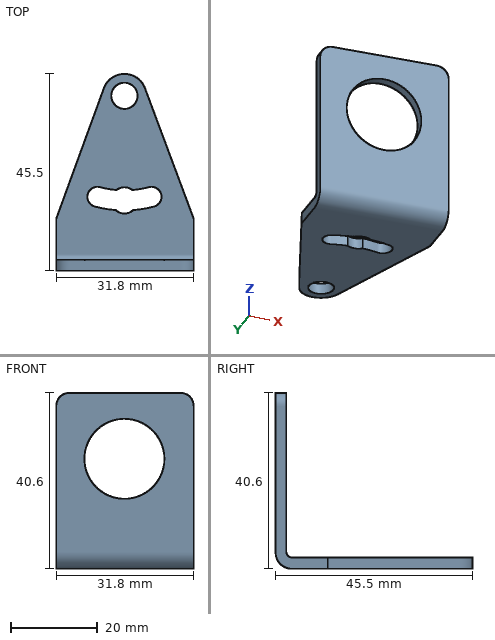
import cadquery as cq
import math

width = 31.75
depth = 45.47
height = 40.64
sheet_offset = 0.127
wall_thickness = 2.54
base_thickness = 2.667
inner_bend_radius = 1.27
outer_bend_radius = inner_bend_radius + wall_thickness

corner_radius = 3.048
window_diameter = 18.415
window_height = 25.4

tip_radius = 5.08
pivot_diameter = 6.0
straight_side_length = 12.06

slot_radius = 24.13
slot_width = 4.572
slot_half_angle = 15
center_hole_diameter = 6.0

half_width = width / 2
left_edge = sheet_offset - half_width
right_edge = sheet_offset + half_width
pivot_y = depth - tip_radius


def make_bent_sheet():
    """L-shaped sheet extruded across the width, with a rounded bend inside and out."""
    sheet = (
        cq.Workplane("YZ")
        .polyline([(0, 0), (depth, 0), (depth, base_thickness), (wall_thickness, base_thickness),
                   (wall_thickness, height), (0, height)])
        .close()
        .extrude(half_width, both=True)
    )
    outer_corner = cq.selectors.NearestToPointSelector((0, 0, 0))
    inner_corner = cq.selectors.NearestToPointSelector((0, wall_thickness, base_thickness))
    sheet = sheet.edges(outer_corner).fillet(outer_bend_radius)
    sheet = sheet.edges(inner_corner).fillet(inner_bend_radius)
    return sheet.translate((sheet_offset, 0, 0))


def taper_tangent_point(edge_distance):
    """Tangent point of the taper on the tip arc, for a straight side this far in +X from the holes."""
    rise = pivot_y - straight_side_length
    distance = math.hypot(edge_distance, rise)
    normal_angle = math.atan2(-rise, edge_distance) + math.acos(tip_radius / distance)
    tangent_x = tip_radius * math.cos(normal_angle)
    tangent_y = pivot_y + tip_radius * math.sin(normal_angle)
    return tangent_x, tangent_y


def make_base_outline():
    """Base plan: straight sides, then tapers tangent to the round tip."""
    left_tangent_x, left_tangent_y = taper_tangent_point(-left_edge)
    right_tangent_x, right_tangent_y = taper_tangent_point(right_edge)
    return (
        cq.Workplane("XY")
        .moveTo(left_edge, 0)
        .lineTo(right_edge, 0)
        .lineTo(right_edge, straight_side_length)
        .lineTo(right_tangent_x, right_tangent_y)
        .threePointArc((0, depth), (-left_tangent_x, left_tangent_y))
        .lineTo(left_edge, straight_side_length)
        .close()
        .extrude(height)
    )


def point_about_pivot(radius, angle):
    """Point at a radius from the pivot; the angle in degrees is from -Y toward +X."""
    turn = math.radians(angle)
    return (radius * math.sin(turn), pivot_y - radius * math.cos(turn))


def make_arc_slot():
    """Round-ended slot following an arc about the pivot."""
    inner = slot_radius - slot_width / 2
    outer = slot_radius + slot_width / 2
    end_centers = [point_about_pivot(slot_radius, side * slot_half_angle) for side in (-1, 1)]
    band = (
        cq.Workplane("XY")
        .moveTo(*point_about_pivot(inner, -slot_half_angle))
        .threePointArc(point_about_pivot(inner, 0), point_about_pivot(inner, slot_half_angle))
        .lineTo(*point_about_pivot(outer, slot_half_angle))
        .threePointArc(point_about_pivot(outer, 0), point_about_pivot(outer, -slot_half_angle))
        .close()
        .extrude(base_thickness)
    )
    ends = cq.Workplane("XY").pushPoints(end_centers).circle(slot_width / 2).extrude(base_thickness)
    return band.union(ends)


def make_base_hole(diameter, y):
    """Vertical round cutter through the base on the centerline."""
    return cq.Workplane("XY").center(0, y).circle(diameter / 2).extrude(base_thickness)


def make_window():
    """Round cutter through the upright plate."""
    return (
        cq.Workplane("XZ")
        .center(0, window_height)
        .circle(window_diameter / 2)
        .extrude(-wall_thickness)
    )


bracket = make_bent_sheet().edges("|Y and >Z").fillet(corner_radius)
bracket = bracket.intersect(make_base_outline())
bracket = bracket.cut(make_base_hole(pivot_diameter, pivot_y))
bracket = bracket.cut(make_arc_slot())
bracket = bracket.cut(make_base_hole(center_hole_diameter, pivot_y - slot_radius))
result = bracket.cut(make_window())